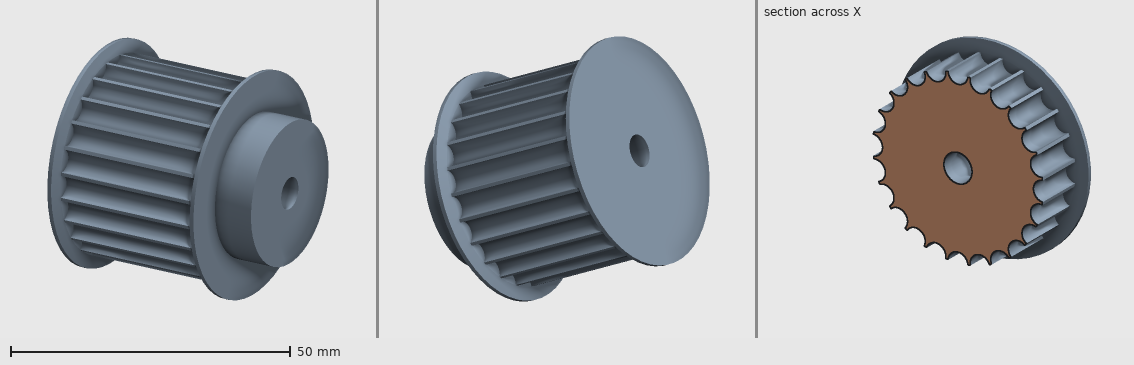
import cadquery as cq
import math

flange_diameter = 42.0
hub_diameter = 27.0
bore_diameter = 6.0
tooth_diameter = 37.05

overall_length = 38.0
hub_length = 7.5
rim_width = 0.8
flange_width = 1.25

tooth_count = 24
land_width = 0.65
groove_depth = 2.1

flanged_length = overall_length - hub_length
toothed_length = flanged_length - 2 * flange_width
tooth_radius = tooth_diameter / 2
flange_radius = flange_diameter / 2


def polar_point(radius, angle):
    return (radius * math.cos(angle), radius * math.sin(angle))


def cylinder(diameter, start, length):
    return cq.Workplane("YZ", origin=(start, 0, 0)).circle(diameter / 2).extrude(length)


def toothed_barrel():
    """Barrel with concave grooves, one of them centred on the Y axis."""
    pitch_angle = 2 * math.pi / tooth_count
    half_groove = (pitch_angle - land_width / tooth_radius) / 2
    bottom_radius = tooth_radius - groove_depth

    outline = cq.Workplane("YZ", origin=(flange_width, 0, 0))
    outline = outline.moveTo(*polar_point(tooth_radius, -half_groove))
    for index in range(tooth_count):
        middle = index * pitch_angle
        groove_bottom = polar_point(bottom_radius, middle)
        groove_end = polar_point(tooth_radius, middle + half_groove)
        land_middle = polar_point(tooth_radius, middle + pitch_angle / 2)
        land_end = polar_point(tooth_radius, middle + pitch_angle - half_groove)
        outline = outline.threePointArc(groove_bottom, groove_end)
        outline = outline.threePointArc(land_middle, land_end)
    return outline.close().extrude(toothed_length)


def flange(outer_face, inward):
    """Disc with a conical inner side; inward is +1 or -1 along X."""
    rim_edge = outer_face + inward * rim_width
    inner_face = outer_face + inward * flange_width
    half_section = [
        (outer_face, 0),
        (outer_face, flange_radius),
        (rim_edge, flange_radius),
        (inner_face, tooth_radius),
        (inner_face, 0),
    ]
    profile = cq.Workplane("XY").polyline(half_section).close()
    return profile.revolve(360, (0, 0, 0), (1, 0, 0))


pulley = toothed_barrel()
pulley = pulley.union(flange(0, 1))
pulley = pulley.union(flange(flanged_length, -1))
pulley = pulley.union(cylinder(hub_diameter, flanged_length, hub_length))

result = pulley.cut(cylinder(bore_diameter, 0, overall_length))